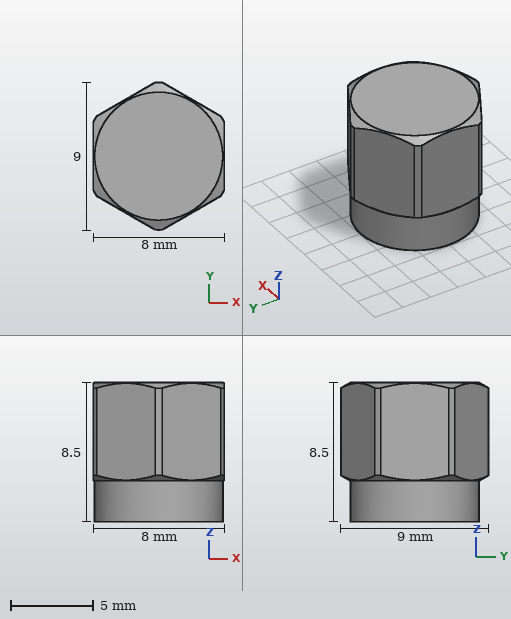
import cadquery as cq
import math

side_count = 6
half_side_angle = 180 / side_count
across_flats = 8.0
corner_diameter = 9.0
head_height = 6.0
chamfer_angle = 30.0
top_face_diameter = 7.8

sleeve_diameter = 7.85
sleeve_height = 2.5


def chamfer_height(end_diameter):
    """Height of the conical chamfer between an end face and the corners."""
    radial_width = (corner_diameter - end_diameter) / 2
    return radial_width * math.tan(math.radians(chamfer_angle))


def make_head():
    """Hexagonal prism with flats facing +X and -X, trimmed by a turned profile."""
    circumscribed_diameter = across_flats / math.cos(math.radians(half_side_angle))
    hexagon = (
        cq.Workplane("XY")
        .workplane(offset=sleeve_height)
        .transformed(rotate=(0, 0, half_side_angle))
        .polygon(side_count, circumscribed_diameter)
        .extrude(head_height)
    )

    head_top = sleeve_height + head_height
    corner_radius = corner_diameter / 2
    turned_blank = (
        cq.Workplane("XZ")
        .moveTo(0, sleeve_height)
        .lineTo(sleeve_diameter / 2, sleeve_height)
        .lineTo(corner_radius, sleeve_height + chamfer_height(sleeve_diameter))
        .lineTo(corner_radius, head_top - chamfer_height(top_face_diameter))
        .lineTo(top_face_diameter / 2, head_top)
        .lineTo(0, head_top)
        .close()
        .revolve(360, (0, 0, 0), (0, 1, 0))
    )
    return hexagon.intersect(turned_blank)


def make_sleeve():
    """Round sleeve that meets the underside of the head."""
    return cq.Workplane("XY").circle(sleeve_diameter / 2).extrude(sleeve_height)


head = make_head()
sleeve = make_sleeve()

result = cq.Compound.makeCompound([head.val(), sleeve.val()])